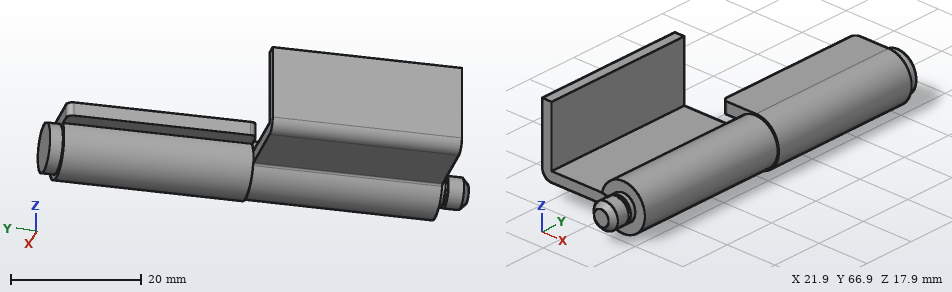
import cadquery as cq
import math

leaf_length = 30.0
pin_radius = 2.55

angle_sheet = 2.0
angle_knuckle_radius = pin_radius + angle_sheet
angle_left = -17.0
angle_top = 13.0
neck_outer_bend = 0.4
neck_inner_bend = neck_outer_bend + angle_sheet

flat_sheet = 2.3
flat_knuckle_radius = pin_radius + flat_sheet
flat_left = -7.05
flat_corner_radius = 1.0

head_radius = 3.95
head_height = 2.0
tip_length = 4.95
tip_chamfer = 1.0
groove_radius = 2.0
groove_offset = 1.0
groove_width = 0.5


def on_circle(radius, angle):
    """Point (X, Z) on a circle around the pin axis."""
    return (radius * math.cos(angle), radius * math.sin(angle))


def y_cylinder(radius, y_start, length):
    """Cylinder on the pin axis, running from y_start toward +Y."""
    return cq.Workplane("XZ", origin=(0, y_start, 0)).circle(radius).extrude(-length)


def make_angle_leaf():
    """L-shaped sheet whose flange bends into an open curl around the pin."""
    sheet_top = angle_sheet / 2
    sheet_bottom = -sheet_top

    bend_z = sheet_bottom - neck_outer_bend
    bend_distance = angle_knuckle_radius + neck_outer_bend
    bend_x = -math.sqrt(bend_distance**2 - bend_z**2)

    def on_bend(radius, angle):
        x, z = on_circle(radius, angle)
        return (bend_x + x, bend_z + z)

    neck_angle = math.atan2(bend_z, bend_x) + 2 * math.pi
    end_angle = math.pi - math.asin(sheet_top / angle_knuckle_radius)
    curl_middle = (neck_angle + end_angle + 2 * math.pi) / 2

    bend_start = neck_angle - math.pi
    bend_middle = (bend_start + math.pi / 2) / 2

    corner_x = angle_left + angle_sheet
    corner_mid = angle_sheet * math.sqrt(0.5)

    profile = (
        cq.Workplane("XZ")
        .moveTo(angle_left, angle_top)
        .lineTo(angle_left, sheet_top)
        .threePointArc((corner_x - corner_mid, sheet_top - corner_mid), (corner_x, sheet_bottom))
        .lineTo(bend_x, sheet_bottom)
        .threePointArc(
            on_bend(neck_outer_bend, bend_middle),
            on_circle(angle_knuckle_radius, neck_angle),
        )
        .threePointArc(
            on_circle(angle_knuckle_radius, curl_middle),
            on_circle(angle_knuckle_radius, end_angle),
        )
        .lineTo(*on_circle(pin_radius, end_angle))
        .threePointArc(on_circle(pin_radius, curl_middle), on_circle(pin_radius, neck_angle))
        .threePointArc(on_bend(neck_inner_bend, bend_middle), (bend_x, sheet_top))
        .lineTo(corner_x, sheet_top)
        .lineTo(corner_x, angle_top)
        .close()
    )
    return profile.extrude(leaf_length)


def make_flat_leaf():
    """Plate with rounded free corners, joined to a bored knuckle."""
    plate = (
        cq.Workplane("XY", origin=(0, 0, pin_radius))
        .box(-flat_left, leaf_length, flat_sheet, centered=False)
        .translate((flat_left, 0, 0))
        .edges("|Z and <X")
        .fillet(flat_corner_radius)
    )
    knuckle = y_cylinder(flat_knuckle_radius, 0, leaf_length)
    bore = y_cylinder(pin_radius, 0, leaf_length)
    return plate.union(knuckle).cut(bore)


def make_pin():
    """Headed pin through both knuckles, with a retaining groove near its tip."""
    shank_length = 2 * leaf_length + tip_length
    shank = y_cylinder(pin_radius, -leaf_length - tip_length, shank_length)
    shank = shank.faces("<Y").chamfer(tip_chamfer)
    head = y_cylinder(head_radius, leaf_length, head_height)
    groove_start = -leaf_length - groove_offset - groove_width
    groove = y_cylinder(pin_radius, groove_start, groove_width).cut(
        y_cylinder(groove_radius, groove_start, groove_width)
    )
    return shank.union(head).cut(groove)


angle_leaf = make_angle_leaf()
flat_leaf = make_flat_leaf()
pin = make_pin()

result = cq.Compound.makeCompound([angle_leaf.val(), flat_leaf.val(), pin.val()])